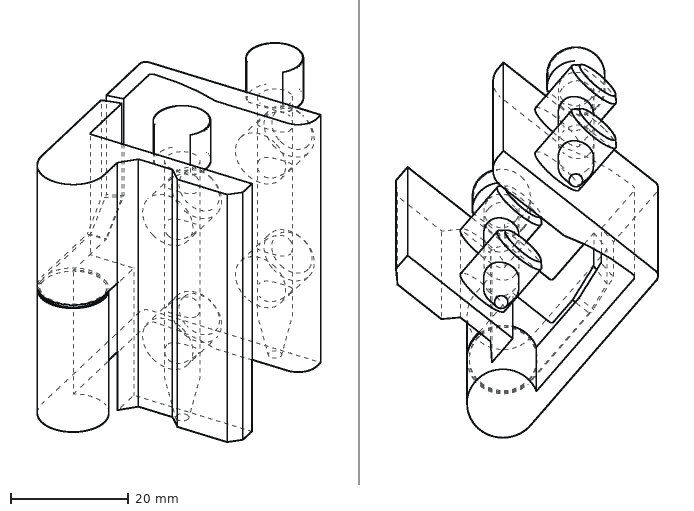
import cadquery as cq
import math


leaf_height = 50.0
rear_leaf_width = 34.85
front_leaf_width = 35.5
flange_spacing = 24.8
flange_thickness = 5.1

knuckle_radius = 6.15
axis_x = knuckle_radius
axis_y = -34.85
washer_radius = 5.75
washer_thickness = 0.65
washer_bottom = leaf_height / 2
washer_top = washer_bottom + washer_thickness

rear_wall = 3.1
rear_web = 2.95
outer_corner_radius = 1.2
rear_inner_radius = 0.6
swell_start_x = 4.3
swell_end_x = 17.2
swell_height = flange_thickness - rear_web
nose_radius = 3.6
rear_edge_outer_y = -12.75
rear_edge_inner_y = -12.25
rear_slope_top_z = 30.05
rear_slope_foot_y = -18.15

front_wall = 3.6
front_face_y = -flange_spacing
front_inner_radius = 0.5
front_pad_y = front_face_y - flange_thickness
shoulder_y = -30.4
groove_floor_y = -27.65
groove_start_x = 14.85
groove_end_x = 21.5
tip_chamfer = 2.0
front_edge_outer_y = -14.5
front_edge_inner_y = -13.65
front_slope_top_z = 30.35
front_slope_foot_y = -19.3

stud_radius = 4.9
stud_length = 10.8
stud_chamfer = 0.95
stud_heights = [leaf_height / 4, leaf_height * 3 / 4]
pin_offset = 5.0
shaft_radius = 3.0
tip_radius = 1.15
taper_length = 8.05
head_radius = stud_radius
head_height = 8.1
head_flat = 3.4
head_edge_radius = 0.2
pin_length = 59.85
rear_pin_x = 22.95
rear_pin_top_z = 55.0
front_pin_x = 18.95
front_pin_top_z = 54.75


def make_pin(x, face_y, top_z):
    """Lock pin: D-shaped head, round shaft and tapered tip."""
    axis_place = cq.Workplane("XY").workplane(offset=top_z - pin_length)
    axis_place = axis_place.center(x, face_y + pin_offset)
    tip = (
        axis_place.circle(tip_radius)
        .workplane(offset=taper_length)
        .circle(shaft_radius)
        .loft()
    )
    shaft_length = pin_length - taper_length - head_height
    shaft = axis_place.workplane(offset=taper_length).circle(shaft_radius).extrude(shaft_length)
    flat_half_width = math.sqrt(head_radius**2 - head_flat**2)
    head = (
        axis_place.workplane(offset=pin_length - head_height)
        .moveTo(-flat_half_width, -head_flat)
        .threePointArc((0, head_radius), (flat_half_width, -head_flat))
        .close()
        .extrude(head_height)
        .faces("<Z or >Z")
        .edges()
        .fillet(head_edge_radius)
    )
    return tip.union(shaft).union(head)


def make_studs(x, face_y):
    """Two chamfered studs, one above the other, standing on a flange face."""
    studs = cq.Workplane("XY")
    for z in stud_heights:
        stud = (
            cq.Workplane("XZ", origin=(x, face_y, z))
            .circle(stud_radius)
            .extrude(-stud_length)
            .faces(">Y")
            .chamfer(stud_chamfer)
        )
        studs = studs.add(stud)
    return studs.combine()


def make_rear_leaf(pin):
    """Rear leaf: flange and wall over the full height, knuckle in the lower half."""
    swell_length = swell_end_x - swell_start_x
    swell_radius = (swell_length**2 + swell_height**2) / (2 * swell_height)
    half_angle = math.asin(swell_length / swell_radius) / 2
    swell_middle = (
        swell_start_x + swell_radius * math.sin(half_angle),
        -rear_web - swell_radius * (1 - math.cos(half_angle)),
    )
    upper = (
        cq.Workplane("XY")
        .moveTo(0, 0)
        .lineTo(rear_leaf_width, 0)
        .lineTo(rear_leaf_width, -flange_thickness + nose_radius)
        .radiusArc((rear_leaf_width - nose_radius, -flange_thickness), nose_radius)
        .lineTo(swell_end_x, -flange_thickness)
        .threePointArc(swell_middle, (swell_start_x, -rear_web))
        .lineTo(rear_wall, -rear_web)
        .lineTo(rear_wall, rear_edge_inner_y)
        .lineTo(0, rear_edge_outer_y)
        .close()
        .extrude(leaf_height)
    )
    upper = upper.edges(cq.NearestToPointSelector((0, 0, leaf_height / 2))).fillet(outer_corner_radius)
    inner_corner = cq.NearestToPointSelector((rear_wall, -rear_web, leaf_height / 2))
    upper = upper.edges(inner_corner).fillet(rear_inner_radius)

    lower_wall = (
        cq.Workplane("XY")
        .moveTo(0, rear_edge_inner_y)
        .lineTo(0, axis_y)
        .lineTo(rear_wall, axis_y)
        .lineTo(rear_wall, rear_edge_inner_y)
        .close()
        .extrude(washer_bottom)
    )
    knuckle = cq.Workplane("XY").center(axis_x, axis_y).circle(knuckle_radius).extrude(washer_bottom)
    slope_rise = rear_slope_top_z - washer_bottom
    slope_run = rear_edge_outer_y - rear_slope_foot_y
    extra_rise = slope_rise / slope_run * (rear_edge_inner_y - rear_edge_outer_y)
    shoulder = (
        cq.Workplane("YZ")
        .moveTo(rear_slope_foot_y, washer_bottom)
        .lineTo(rear_edge_inner_y, washer_bottom)
        .lineTo(rear_edge_inner_y, rear_slope_top_z + extra_rise)
        .close()
        .extrude(rear_wall)
    )
    studs = make_studs(rear_pin_x, 0)
    return upper.union(lower_wall).union(knuckle).union(shoulder).union(studs).cut(pin)


def make_front_leaf(pin):
    """Front leaf: flange over the full height, wall and knuckle in the upper half."""
    flange = (
        cq.Workplane("XY")
        .moveTo(2 * knuckle_radius, front_face_y)
        .lineTo(front_leaf_width, front_face_y)
        .lineTo(front_leaf_width, front_pad_y + tip_chamfer)
        .lineTo(front_leaf_width - tip_chamfer, front_pad_y)
        .lineTo(groove_end_x + groove_floor_y - front_pad_y, front_pad_y)
        .lineTo(groove_end_x, groove_floor_y)
        .lineTo(groove_start_x, groove_floor_y)
        .lineTo(2 * knuckle_radius, shoulder_y)
        .close()
        .extrude(leaf_height)
    )
    upper = (
        cq.Workplane("XY")
        .workplane(offset=washer_top)
        .moveTo(0, front_edge_outer_y)
        .lineTo(0, axis_y)
        .threePointArc((axis_x, axis_y - knuckle_radius), (2 * knuckle_radius, axis_y))
        .lineTo(2 * knuckle_radius, front_face_y)
        .lineTo(front_wall, front_face_y)
        .lineTo(front_wall, front_edge_inner_y)
        .close()
        .extrude(leaf_height - washer_top)
    )
    inner_corner = cq.NearestToPointSelector((front_wall, front_face_y, (washer_top + leaf_height) / 2))
    upper = upper.edges(inner_corner).fillet(front_inner_radius)
    slope_rise = front_slope_top_z - washer_top
    slope_run = front_edge_outer_y - front_slope_foot_y
    corner = (
        cq.Workplane("YZ")
        .moveTo(front_slope_foot_y, washer_top)
        .lineTo(front_slope_foot_y + 2 * slope_run, washer_top)
        .lineTo(front_slope_foot_y + 2 * slope_run, washer_top + 2 * slope_rise)
        .close()
        .extrude(front_wall)
    )
    studs = make_studs(front_pin_x, front_face_y)
    return flange.union(upper.cut(corner)).union(studs).cut(pin)


def make_washer():
    """Plain disc between the two knuckles."""
    bottom = cq.Workplane("XY", origin=(axis_x, axis_y, washer_bottom))
    return bottom.circle(washer_radius).extrude(washer_thickness)


pin_places = [
    (rear_pin_x, 0, rear_pin_top_z),
    (front_pin_x, front_face_y, front_pin_top_z),
]
pins = [make_pin(*place) for place in pin_places]
rear_pin, front_pin = pins
rear_leaf = make_rear_leaf(rear_pin)
front_leaf = make_front_leaf(front_pin)
washer = make_washer()

result = cq.Compound.makeCompound(
    [rear_leaf.val(), front_leaf.val(), washer.val(), *[pin.val() for pin in pins]]
)